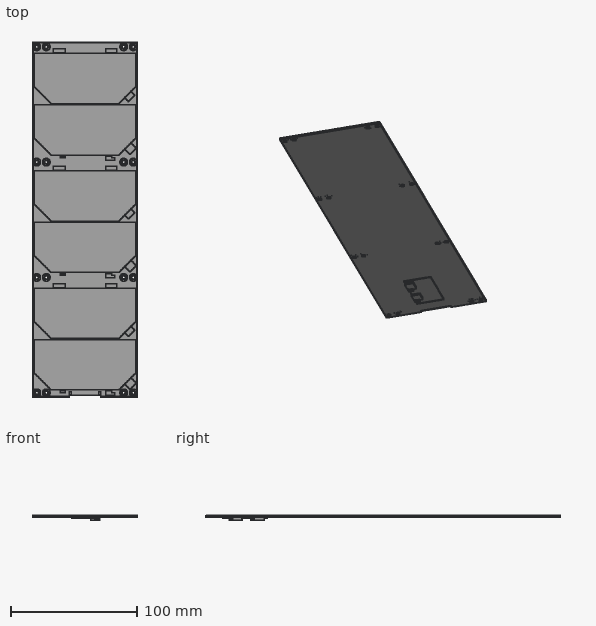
import cadquery as cq
import math

width = 82.7
length = 281.2
total_height = 4.0
board_top = 0.0
cell_thickness = 0.15
board_thickness = 1.6
board_bottom = board_top - board_thickness
lowest = cell_thickness - total_height

row_pitch = 91.5
row_count = 4
rows = [(i - (row_count - 1) / 2) * row_pitch for i in range(row_count)]
hole_columns = [-38.2, -30.7, 30.7, 38.2]
hole_diameter = 2.7
head_diameter = 6.0
head_straight_depth = 0.7
head_cone_depth = 0.7

cell_width = 80.1
cell_length = 40.0
cell_corner = 13.2
cell_gap = 0.8
bay_count = 3
bay_pitch = 93.0
cell_set_back = 5.0

foil_height = 0.08
back_tabs_x = [(-25.3, -15.5), (16.3, 25.3)]
back_tab_reach = (0.3, 3.5)
front_tabs = [
    ((-19.7, -15.5), (0.8, 2.2)),
    ((16.3, 21.5), (0.8, 4.2)),
    ((21.5, 23.5), (2.2, 4.2)),
]

diode_length = 7.0
diode_shift = 4.2
first_diode_width = 4.2
second_diode_width = 6.0

ledge_width = 0.8
ledge_depth = 0.05
notch_width = 22.0
notch_depth = 1.7
lip_reach = 0.3
lip_thickness = 0.8
slot_width = 1.5
slot_reach = 4.2
slot_depth = 0.5

plate_x = (-10.7, 11.5)
plate_y = (-126.8, -91.7)
plate_thickness = 0.7
plate_bottom = board_bottom - plate_thickness
connector_x = (4.5, 11.5)
connector_bodies_y = [(-102.4, -94.0), (-119.2, -111.5)]
pin_reach = 2.5
pin_thickness = 0.5
pin_width = 0.5
pin_pitch = 1.0
pin_count = 4
overlap = 0.05


def block(x, y, z):
    """Box spanning the given (low, high) pairs."""
    size = [high - low for low, high in (x, y, z)]
    return cq.Workplane("XY").box(*size, centered=False).translate((x[0], y[0], z[0]))


def foil(x, y):
    """Thin contact tab lying on the board."""
    return block(x, y, (board_top - overlap, board_top + foil_height))


def board():
    """Flat board with the ledge, notch and slots of its front edge."""
    half_x = width / 2
    half_y = length / 2
    body = block((-half_x, half_x), (-half_y, half_y), (board_bottom, board_top))
    ledge_z = (board_top - ledge_depth, board_top)
    ledge = block((-half_x, half_x), (-half_y, ledge_width - half_y), ledge_z)
    body = body.cut(ledge)
    outer = notch_width / 2 + slot_width
    notch = block((-outer, outer), (-half_y, notch_depth - half_y), (board_bottom, board_top))
    body = body.cut(notch)
    for x in (-outer, outer - slot_width):
        slot_z = (board_top - slot_depth, board_top)
        slot = block((x, x + slot_width), (-half_y, slot_reach - half_y), slot_z)
        body = body.cut(slot)
    lip_y = notch_depth - half_y
    lip = block(
        (-notch_width / 2, notch_width / 2),
        (lip_y - lip_reach, lip_y + overlap),
        (board_bottom, board_bottom + lip_thickness),
    )
    return body.union(lip)


def solar_cell(back_y):
    """Thin cell with its rear edge at back_y."""
    half = cell_width / 2
    front_y = back_y - cell_length
    outline = [
        (-half, back_y),
        (half, back_y),
        (half, front_y + cell_corner),
        (half - cell_corner, front_y),
        (cell_corner - half, front_y),
        (-half, front_y + cell_corner),
    ]
    base = cq.Workplane("XY").workplane(offset=board_top - overlap)
    return base.polyline(outline).close().extrude(cell_thickness + overlap)


def diode(back_y, diode_width):
    """Flat diode lying against the right-hand cut corner of a cell."""
    slant = math.sqrt(0.5)
    middle_x = cell_width / 2 - cell_corner / 2
    middle_y = back_y - cell_length + cell_corner / 2
    along = diode_shift - diode_length / 2
    out = diode_width / 2
    tile_height = foil_height + overlap
    tile = cq.Workplane("XY").box(diode_length, diode_width, tile_height, centered=(True, True, False))
    tile = tile.rotate((0, 0, 0), (0, 0, 1), 45)
    return tile.translate((
        middle_x + (along + out) * slant,
        middle_y + (along - out) * slant,
        board_top - overlap,
    ))


def bay(first_back):
    """Two cells with their diodes and contact tabs, from the rear edge of the first cell."""
    second_back = first_back - cell_length - cell_gap
    front = second_back - cell_length
    parts = [
        solar_cell(first_back),
        solar_cell(second_back),
        diode(first_back, first_diode_width),
        diode(second_back, second_diode_width),
    ]
    near, far = back_tab_reach
    for x in back_tabs_x:
        parts.append(foil(x, (first_back + near, first_back + far)))
    for x, (near, far) in front_tabs:
        parts.append(foil(x, (front - far, front - near)))
    return parts


def connector(body_y):
    """Connector body with a row of bent pins at its front end."""
    top = plate_bottom + overlap
    parts = [block(connector_x, body_y, (lowest, top))]
    pin_y = body_y[0] - pin_reach
    for i in range(pin_count):
        right = connector_x[1] - i * pin_pitch
        x = (right - pin_width, right)
        parts.append(block(x, (pin_y, body_y[0] + overlap), (lowest, lowest + pin_thickness)))
        parts.append(block(x, (pin_y, pin_y + pin_thickness), (lowest, top)))
    return parts


def screw_hole_cutter():
    """Through hole with a cone and a straight recess for the screw head."""
    cone_top = board_top - head_straight_depth
    hole_radius = hole_diameter / 2
    head_radius = head_diameter / 2
    profile = [
        (0, board_bottom),
        (hole_radius, board_bottom),
        (hole_radius, cone_top - head_cone_depth),
        (head_radius, cone_top),
        (head_radius, board_top),
        (0, board_top),
    ]
    return cq.Workplane("XZ").polyline(profile).close().revolve(360, (0, 0, 0), (0, 1, 0))


pieces = []
for i in range(bay_count):
    pieces += bay(rows[-1] - cell_set_back - i * bay_pitch)
pieces.append(block(plate_x, plate_y, (plate_bottom, board_bottom + overlap)))
for body_y in connector_bodies_y:
    pieces += connector(body_y)

result = board()
for piece in pieces:
    result = result.union(piece)
for x in hole_columns:
    for y in rows:
        result = result.cut(screw_hole_cutter().translate((x, y, 0)))